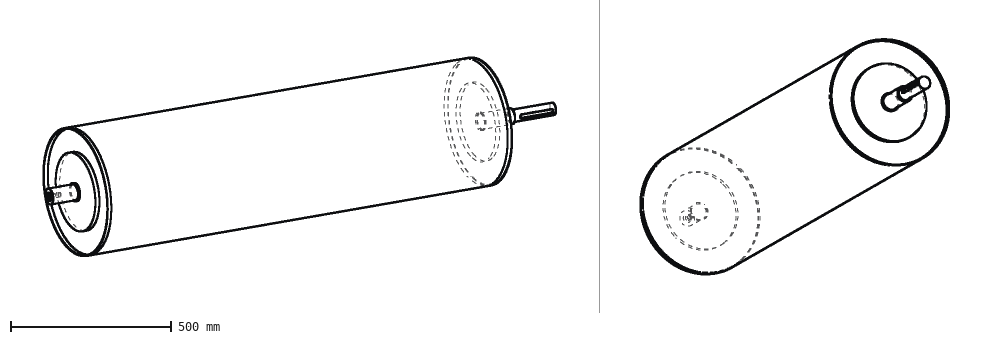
import cadquery as cq

total_length = 1810.0
front_stub_length = 95.0
drive_end_length = 150.0
rear_shaft_length = 262.0

shell_diameter = 405.0
rim_bore_diameter = 400.0
recess_depth = 15.0

hub_diameter = 250.0
collar_diameter = 58.0
collar_projection = 5.0
journal_diameter = 50.0
drive_end_diameter = 40.0

centre_mouth_diameter = 27.0
centre_step_diameter = 17.0
centre_bore_diameter = 13.8
centre_step_depth = 18.0
centre_depth = 36.0
mouth_depth = (centre_mouth_diameter - centre_step_diameter) / 2

key_width = 12.0
key_depth = 5.0
key_length = 120.0
key_end_gap = 9.0

front_end = -total_length / 2
rear_end = total_length / 2
shell_front = front_end + front_stub_length
shell_rear = rear_end - rear_shaft_length


def cylinder(diameter, start, end):
    """Solid cylinder on the Y axis between two Y positions."""
    plane = cq.Plane(origin=(0, start, 0), xDir=(1, 0, 0), normal=(0, 1, 0))
    return cq.Workplane(plane).circle(diameter / 2).extrude(end - start)


def make_roller():
    """Shell with recessed end discs, hubs flush with the rims and shaft collars."""
    shell = cylinder(shell_diameter, shell_front, shell_rear)
    front_recess = cylinder(rim_bore_diameter, shell_front, shell_front + recess_depth)
    rear_recess = cylinder(rim_bore_diameter, shell_rear - recess_depth, shell_rear)
    hub = cylinder(hub_diameter, shell_front, shell_rear)
    collar = cylinder(collar_diameter, shell_front - collar_projection, shell_rear + collar_projection)
    return shell.cut(front_recess).cut(rear_recess).union(hub).union(collar)


def make_shaft():
    """Through shaft with a thinner drive end at the rear."""
    drive_end_start = rear_end - drive_end_length
    journal = cylinder(journal_diameter, front_end, drive_end_start)
    return journal.union(cylinder(drive_end_diameter, drive_end_start, rear_end))


def make_centre_hole():
    """Stepped blind bore with a 45 degree countersunk mouth."""
    step_radius = centre_step_diameter / 2
    bore_radius = centre_bore_diameter / 2
    return (
        cq.Workplane("XY")
        .moveTo(0, front_end)
        .lineTo(centre_mouth_diameter / 2, front_end)
        .lineTo(step_radius, front_end + mouth_depth)
        .lineTo(step_radius, front_end + centre_step_depth)
        .lineTo(bore_radius, front_end + centre_step_depth)
        .lineTo(bore_radius, front_end + centre_depth)
        .lineTo(0, front_end + centre_depth)
        .close()
        .revolve(360, (0, 0, 0), (0, 1, 0))
    )


def make_keyway():
    """Round-ended slot sunk from the +X side of the drive end."""
    shaft_radius = drive_end_diameter / 2
    key_centre = rear_end - key_end_gap - key_length / 2
    return (
        cq.Workplane("YZ", origin=(shaft_radius - key_depth, key_centre, 0))
        .slot2D(key_length, key_width)
        .extrude(shaft_radius)
    )


roller = make_roller().union(make_shaft())
result = roller.cut(make_centre_hole()).cut(make_keyway())